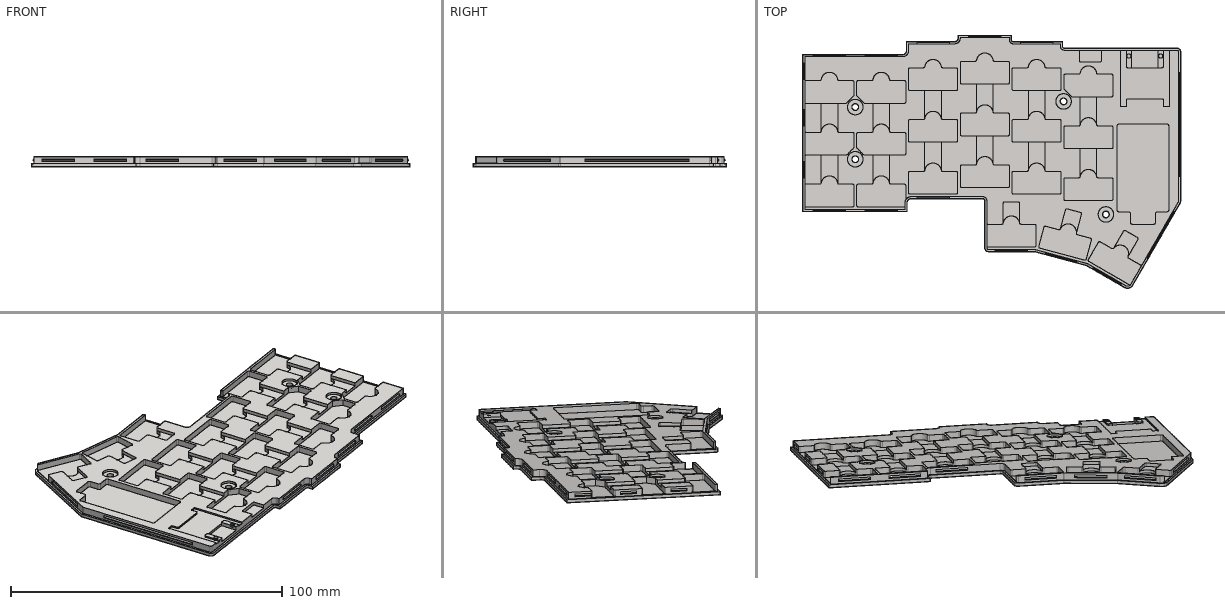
import cadquery as cq
import math


TOTAL_HEIGHT = 3.8
FLANGE_HEIGHT = 1.2
POCKET_FLOOR = 1.4
CHANNEL_FLOOR = TOTAL_HEIGHT - 1.3
OVERCUT = 1.4

KEY_PITCH = 19.1
STAGGER_STEP = 2.4
COLUMN_STAGGER = [STAGGER_STEP * steps for steps in (0, 0, 2, 3, 2, 1)]
ROW_COUNT = 3
POCKET_LENGTH = 18.1
POCKET_WIDTH = 8.4
STEM_WIDTH = 6.1
POCKET_CORNER = 0.5
OPENING_CORNER = 0.4

RIM_WIDTH = 0.8
WALL = 1.0
BOTTOM_OFFSET = POCKET_WIDTH / 2 + WALL + RIM_WIDTH

FIRST_COLUMN_X = RIM_WIDTH + POCKET_LENGTH / 2
FIRST_ROW_Y = 72.3

THUMB_KEYS = [(76.9, 19.4, 0), (96.7, 16.6, -15), (114.9, 9.2, -30)]
THUMB_CHANNEL_LENGTH = 8.2

CASE_LENGTH = 139.3
TOP_EDGE_Y = 86.1
BOTTOM_EDGE_Y = FIRST_ROW_Y - (ROW_COUNT - 1) * KEY_PITCH - BOTTOM_OFFSET
STEP_OVERHANG = 0.3
CORNER_RADIUS = 1.4
TIP_RADIUS = 2.2
RISING_STEP_RADIUS = 1.4
FALLING_STEP_RADIUS = 0.7

RIDGE_PROTRUSION = 0.4
RIDGE_HEIGHT = 1.0
RIDGE_Z = (FLANGE_HEIGHT + TOTAL_HEIGHT) / 2
KEY_RIDGE = 12.0
LEFT_RIDGE = 6.0
RIGHT_RIDGE = 38.3
RIGHT_RIDGE_Y = 60.3
SLOPE_RIDGE = 19.8
SLOPE_RIDGE_OFFSET = 17.5

SCREWS = [(19.4, 66.7), (19.4, 47.5), (96.1, 68.8), (111.7, 27.2)]
SCREW_HOLE = 2.4
SCREW_COUNTERBORE = 5.7
COUNTERBORE_DEPTH = 0.8
SCREW_GUARD = 6.7

BATTERY_X = 125.4
BATTERY_WIDTH = 19.1
BATTERY_BOTTOM = 28.1
BATTERY_TOP = 60.5
BATTERY_TAB_WIDTH = 9.2
BATTERY_TAB_BOTTOM = 23.5
BATTERY_CORNER = 0.7

CONTROLLER_X = 126.0
CONTROLLER_WIDTH = 18.1
CONTROLLER_BOTTOM = 67.0
CONTROLLER_DEPTH = 0.5
LEDGE_WIDTH = 13.7
LEDGE_TOP = 69.8
BAY_WIDTH = 9.8
BAY_BOTTOM = 81.2
BAY_DEPTH = 1.4
PIT_DIAMETER = 1.5
PIT_DEPTH = 0.8
PIT_SPACING = 11.7
PIT_Y = 85.5

NOTCH_LEFT = 102.0
NOTCH_RIGHT = 110.0
NOTCH_BOTTOM = 83.3
NOTCH_DEPTH = 1.3

BACK = TOP_EDGE_Y + COLUMN_STAGGER[5] + OVERCUT


def column_x(column):
    return FIRST_COLUMN_X + column * KEY_PITCH


def column_edge(column):
    """Boundary between a column and the one on its left."""
    return column_x(column) - KEY_PITCH / 2


def key_y(column, row):
    return FIRST_ROW_Y + COLUMN_STAGGER[column] - row * KEY_PITCH


def from_key(key, along, across):
    """Point given in a rotated key's own axes."""
    x, y, angle = key
    c = math.cos(math.radians(angle))
    s = math.sin(math.radians(angle))
    return x + along * c - across * s, y + along * s + across * c


def bottom_corner(key, next_key):
    """Where the outer edges below two neighbouring thumb keys meet."""
    px, py = from_key(key, 0, -BOTTOM_OFFSET)
    qx, qy = from_key(next_key, 0, -BOTTOM_OFFSET)
    a = math.radians(key[2])
    b = math.radians(next_key[2])
    travel = ((qx - px) * math.sin(b) - (qy - py) * math.cos(b)) / math.sin(b - a)
    return px + travel * math.cos(a), py + travel * math.sin(a)


def rounded_outline(corners):
    """Closed wire through (x, y, radius) corners; radius 0 leaves a corner sharp."""
    stretches = []
    for i, (x, y, radius) in enumerate(corners):
        if radius == 0:
            stretches.append([(x, y)])
            continue
        before = cq.Vector(*corners[i - 1][:2])
        after = cq.Vector(*corners[(i + 1) % len(corners)][:2])
        corner = cq.Vector(x, y)
        u = (before - corner).normalized()
        v = (after - corner).normalized()
        half = u.getAngle(v) / 2
        tangent = radius / math.tan(half)
        middle = corner + (u + v).normalized() * (radius / math.sin(half) - radius)
        start = corner + u * tangent
        end = corner + v * tangent
        stretches.append([(start.x, start.y), (middle.x, middle.y), (end.x, end.y)])
    wire = cq.Workplane("XY").moveTo(*stretches[0][-1])
    for stretch in stretches[1:] + stretches[:1]:
        wire = wire.lineTo(*stretch[0])
        if len(stretch) == 3:
            wire = wire.threePointArc(*stretch[1:])
    return wire.close()


def case_outline():
    right_end = from_key(THUMB_KEYS[2], POCKET_LENGTH / 2 + RIM_WIDTH, -BOTTOM_OFFSET)
    slope = math.radians(90 + THUMB_KEYS[2][2])
    slope_top_y = right_end[1] + (CASE_LENGTH - right_end[0]) * math.tan(slope)
    thumb_left = THUMB_KEYS[0][0] - POCKET_LENGTH / 2 - RIM_WIDTH
    thumb_bottom = THUMB_KEYS[0][1] - BOTTOM_OFFSET
    top = [TOP_EDGE_Y + stagger for stagger in COLUMN_STAGGER]
    inner_bottom = BOTTOM_EDGE_Y + COLUMN_STAGGER[2]
    first_step = column_edge(2) - STEP_OVERHANG
    plateau_left = column_edge(3) - STEP_OVERHANG
    plateau_right = column_edge(4) + STEP_OVERHANG
    return rounded_outline([
        (0, BOTTOM_EDGE_Y, 0),
        (column_edge(2), BOTTOM_EDGE_Y, 0),
        (column_edge(2), inner_bottom, RISING_STEP_RADIUS),
        (thumb_left, inner_bottom, FALLING_STEP_RADIUS),
        (thumb_left, thumb_bottom, CORNER_RADIUS),
        (*bottom_corner(THUMB_KEYS[0], THUMB_KEYS[1]), 0),
        (*bottom_corner(THUMB_KEYS[1], THUMB_KEYS[2]), 0),
        (*right_end, TIP_RADIUS),
        (CASE_LENGTH, slope_top_y, CORNER_RADIUS),
        (CASE_LENGTH, top[5], CORNER_RADIUS),
        (column_edge(5), top[5], FALLING_STEP_RADIUS),
        (column_edge(5), top[4], 0),
        (plateau_right, top[4], FALLING_STEP_RADIUS),
        (plateau_right, top[3], 0),
        (plateau_left, top[3], 0),
        (plateau_left, top[2], RISING_STEP_RADIUS),
        (first_step, top[2], 0),
        (first_step, top[1], RISING_STEP_RADIUS),
        (0, top[0], 0),
    ])


def slab(x0, x1, y0, y1, floor, corner=0.0):
    """Upright cutter from a floor height to above the case."""
    centre = ((x0 + x1) / 2, (y0 + y1) / 2, floor)
    height = TOTAL_HEIGHT + OVERCUT - floor
    block = cq.Workplane("XY", origin=centre).rect(x1 - x0, y1 - y0).extrude(height)
    return block.edges("|Z").fillet(corner) if corner else block


def place(shape, key):
    """Move a shape built at the origin to a key's position and rotation."""
    x, y, angle = key
    return shape.rotate((0, 0, 0), (0, 0, 1), angle).translate((x, y, 0))


def key_pocket(open_left=False, open_right=False):
    """Switch pocket centred on the origin, with a round bump on its upper edge."""
    half_length = POCKET_LENGTH / 2
    half_width = POCKET_WIDTH / 2
    left = -half_length - (OVERCUT if open_left else 0)
    right = half_length + (OVERCUT if open_right else 0)
    bump = (
        cq.Workplane("XY", origin=(0, half_width, POCKET_FLOOR))
        .circle(STEM_WIDTH / 2)
        .extrude(TOTAL_HEIGHT + OVERCUT - POCKET_FLOOR)
    )
    pocket = slab(left, right, -half_width, half_width, POCKET_FLOOR).union(bump)
    return pocket.edges("|Z").fillet(POCKET_CORNER)


def grid_cutters():
    """Pockets of the key columns and the channel that links each column."""
    cutters = []
    for column in range(len(COLUMN_STAGGER)):
        x = column_x(column)
        for row in range(ROW_COUNT):
            pocket = key_pocket(open_left=column == 0)
            cutters.append(place(pocket, (x, key_y(column, row), 0)))
        left = x - STEM_WIDTH / 2
        channel = slab(
            left, left + STEM_WIDTH, key_y(column, ROW_COUNT - 1), key_y(column, 0), CHANNEL_FLOOR
        )
        cutters.append(channel)
    return cutters


def thumb_cutters():
    """Thumb pockets, open at both ends of the cluster, each with a short channel."""
    cutters = []
    for i, key in enumerate(THUMB_KEYS):
        pocket = key_pocket(open_left=i == 0, open_right=i == len(THUMB_KEYS) - 1)
        channel_top = POCKET_WIDTH / 2 + THUMB_CHANNEL_LENGTH
        channel = slab(
            -STEM_WIDTH / 2, STEM_WIDTH / 2, 0, channel_top, CHANNEL_FLOOR, POCKET_CORNER
        )
        cutters += [place(pocket, key), place(channel, key)]
    return cutters


def screw_guards():
    """Square blocks turned by 45 degrees that keep material around the screws."""
    guard = cq.Workplane("XY").rect(SCREW_GUARD, SCREW_GUARD).extrude(TOTAL_HEIGHT)
    return [place(guard, (x, y, 45)) for x, y in SCREWS]


def battery_pocket():
    left = BATTERY_X - BATTERY_WIDTH / 2
    tab_left = BATTERY_X - BATTERY_TAB_WIDTH / 2
    main = slab(left, left + BATTERY_WIDTH, BATTERY_BOTTOM, BATTERY_TOP, POCKET_FLOOR)
    tab = slab(
        tab_left, tab_left + BATTERY_TAB_WIDTH, BATTERY_TAB_BOTTOM, BATTERY_TOP, POCKET_FLOOR
    )
    return main.union(tab).edges("|Z").fillet(BATTERY_CORNER)


def controller_recess():
    """Shallow recess open at the back, around two full-height pads and a deeper bay."""
    left = CONTROLLER_X - CONTROLLER_WIDTH / 2
    inner_left = CONTROLLER_X - LEDGE_WIDTH / 2
    inner_right = CONTROLLER_X + LEDGE_WIDTH / 2
    floor = TOTAL_HEIGHT - CONTROLLER_DEPTH
    recess = slab(left, left + CONTROLLER_WIDTH, CONTROLLER_BOTTOM, BACK, floor)
    ledge = slab(inner_left, inner_right, CONTROLLER_BOTTOM - OVERCUT, LEDGE_TOP, 0, POCKET_CORNER)
    pads = slab(inner_left, inner_right, BAY_BOTTOM, BACK + OVERCUT, 0, POCKET_CORNER)
    bay_left = CONTROLLER_X - BAY_WIDTH / 2
    bay = slab(bay_left, bay_left + BAY_WIDTH, BAY_BOTTOM, BACK, TOTAL_HEIGHT - BAY_DEPTH)
    return recess.cut(ledge).cut(pads).union(bay)


def pad_pits():
    """Round pits in the two pads beside the connector bay."""
    return (
        cq.Workplane("XY", origin=(CONTROLLER_X, PIT_Y, TOTAL_HEIGHT - PIT_DEPTH))
        .rarray(PIT_SPACING, 1.4, 2, 1)
        .circle(PIT_DIAMETER / 2)
        .extrude(PIT_DEPTH + OVERCUT)
    )


def round_openings(body):
    """Round the upright edges where pockets break through the rim wall."""
    half_length = POCKET_LENGTH / 2
    half_width = POCKET_WIDTH / 2
    corners = []
    for row in range(ROW_COUNT):
        key = (FIRST_COLUMN_X, key_y(0, row), 0)
        corners.append(from_key(key, -half_length, half_width))
        corners.append(from_key(key, -half_length, -half_width))
    corners.append(from_key(THUMB_KEYS[0], -half_length, half_width))
    corners.append(from_key(THUMB_KEYS[-1], half_length, half_width))
    middle = (POCKET_FLOOR + TOTAL_HEIGHT) / 2
    for x, y in corners:
        nearest = cq.NearestToPointSelector((x, y, middle))
        body = body.edges("|Z").edges(nearest).fillet(OPENING_CORNER)
    return body


def ridge(x, y, facing, length):
    """Triangular snap ridge on a wall at (x, y); facing is its outward angle."""
    half_height = RIDGE_HEIGHT / 2
    bar = (
        cq.Workplane("XZ", origin=(0, length / 2, RIDGE_Z))
        .polyline([(0, -half_height), (RIDGE_PROTRUSION, 0), (0, half_height)])
        .close()
        .extrude(length)
    )
    return place(bar, (x, y, facing))


def snap_ridges():
    ridges = []
    for column in range(5):
        wall_y = TOP_EDGE_Y + COLUMN_STAGGER[column] - RIM_WIDTH
        ridges.append(ridge(column_x(column), wall_y, 90, KEY_RIDGE))
    for column in range(3):
        wall_y = BOTTOM_EDGE_Y + COLUMN_STAGGER[column] + RIM_WIDTH
        ridges.append(ridge(column_x(column), wall_y, -90, KEY_RIDGE))
    for key in THUMB_KEYS:
        wall = from_key(key, 0, -POCKET_WIDTH / 2 - WALL)
        ridges.append(ridge(*wall, key[2] - 90, KEY_RIDGE))
    first_land = POCKET_WIDTH / 2 + OPENING_CORNER + LEFT_RIDGE / 2
    for row in range(ROW_COUNT):
        land_y = key_y(0, row) + (KEY_PITCH / 2 if row else first_land)
        ridges.append(ridge(RIM_WIDTH, land_y, 180, LEFT_RIDGE))
    ridges.append(ridge(CASE_LENGTH - RIM_WIDTH, RIGHT_RIDGE_Y, 0, RIGHT_RIDGE))
    last_thumb = THUMB_KEYS[-1]
    slope_wall = from_key(last_thumb, POCKET_LENGTH / 2, SLOPE_RIDGE_OFFSET)
    ridges.append(ridge(*slope_wall, last_thumb[2], SLOPE_RIDGE))
    return ridges


def screw_cutters(diameter, floor):
    """Round cutters at the screws, from a floor height to above the case."""
    return (
        cq.Workplane("XY", origin=(0, 0, floor))
        .pushPoints(SCREWS)
        .circle(diameter / 2)
        .extrude(TOTAL_HEIGHT + OVERCUT - floor)
    )


def cut_all(body, cutters):
    return cq.Workplane(body.val().cut(*[cutter.val() for cutter in cutters]))


def join_all(body, additions):
    return cq.Workplane(body.val().fuse(*[addition.val() for addition in additions]))


notch = slab(
    NOTCH_LEFT, NOTCH_RIGHT, NOTCH_BOTTOM, BACK, TOTAL_HEIGHT - NOTCH_DEPTH, POCKET_CORNER
)
body = case_outline().offset2D(-RIM_WIDTH).extrude(TOTAL_HEIGHT)
body = cut_all(body, grid_cutters() + thumb_cutters())
body = round_openings(body)
body = join_all(body, screw_guards())
body = cut_all(body, [battery_pocket(), controller_recess(), notch])
body = body.cut(pad_pits())
body = join_all(body, snap_ridges())

flange = case_outline().extrude(FLANGE_HEIGHT)
result = (
    flange.union(body)
    .cut(screw_cutters(SCREW_HOLE, 0))
    .cut(screw_cutters(SCREW_COUNTERBORE, TOTAL_HEIGHT - COUNTERBORE_DEPTH))
)